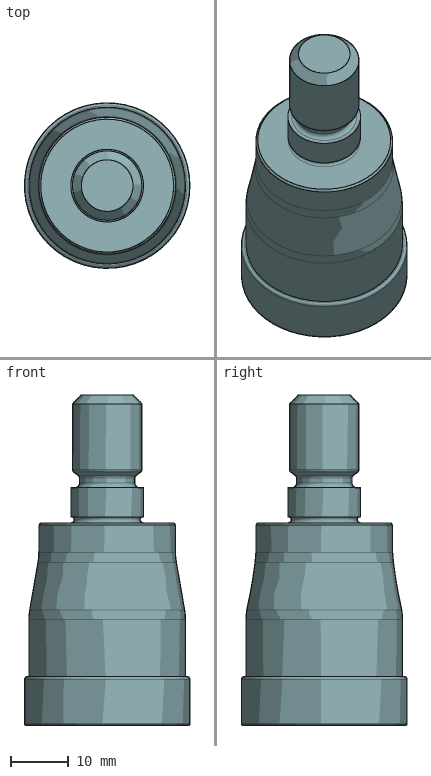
import cadquery as cq

total_height = 57.0
foot_height = 8.45
shoulder_z = 34.95

foot_radius = 14.28
foot_top_round = 0.5
foot_bottom_round = 0.3

barrel_lower_radius = 13.5
barrel_upper_radius = 11.8
taper_bottom_z = 19.1
taper_top_z = 28.95
taper_blend_radius = 10.0
shoulder_chamfer = 0.35

neck_radius = 5.7
neck_round = 0.5
collar_radius = 6.25
collar_bottom_z = shoulder_z + 2 * neck_round
collar_top_z = 41.0

undercut_radius = 4.8
undercut_round = 0.8
undercut_top_z = 42.9
stud_radius = 6.0
stud_bottom_z = 43.85
stud_cone_blend = 0.5
stud_tip_chamfer = 1.55

pick_margin = 0.03


def edges_at_height(body, z):
    """Select the edges lying in a thin horizontal slice at height z."""
    reach = 2 * foot_radius
    return body.edges(
        cq.selectors.BoxSelector(
            (-reach, -reach, z - pick_margin),
            (reach, reach, z + pick_margin),
            boundingbox=True,
        )
    )


def revolve_about_z(profile):
    """Turn a closed profile drawn in the XZ plane about the Z axis."""
    return profile.close().revolve(360, (0, 0), (0, 1))


def make_foot():
    """Round foot with softened top and bottom rims."""
    foot = cq.Workplane("XY").circle(foot_radius).extrude(foot_height)
    foot = foot.faces(">Z").edges().fillet(foot_top_round)
    return foot.faces("<Z").edges().fillet(foot_bottom_round)


def make_barrel_and_stud():
    """Turned barrel that carries the neck, collar, undercut and stud."""
    profile = (
        cq.Workplane("XZ")
        .moveTo(0, foot_height)
        .lineTo(barrel_lower_radius, foot_height)
        .lineTo(barrel_lower_radius, taper_bottom_z)
        .lineTo(barrel_upper_radius, taper_top_z)
        .lineTo(barrel_upper_radius, shoulder_z - shoulder_chamfer)
        .lineTo(barrel_upper_radius - shoulder_chamfer, shoulder_z)
        .lineTo(neck_radius + neck_round, shoulder_z)
        .tangentArcPoint((-neck_round, neck_round))
        .tangentArcPoint((neck_round, neck_round))
        .lineTo(collar_radius, collar_bottom_z)
        .lineTo(collar_radius, collar_top_z)
        .lineTo(undercut_radius + undercut_round, collar_top_z)
        .tangentArcPoint((-undercut_round, undercut_round))
        .lineTo(undercut_radius, undercut_top_z)
        .lineTo(stud_radius, stud_bottom_z)
        .lineTo(stud_radius, total_height - stud_tip_chamfer)
        .lineTo(stud_radius - stud_tip_chamfer, total_height)
        .lineTo(0, total_height)
    )
    body = revolve_about_z(profile)
    for z in (taper_bottom_z, taper_top_z):
        body = edges_at_height(body, z).fillet(taper_blend_radius)
    for z in (undercut_top_z, stud_bottom_z):
        body = edges_at_height(body, z).fillet(stud_cone_blend)
    return body


foot = make_foot()
barrel_and_stud = make_barrel_and_stud()

result = cq.Compound.makeCompound([foot.val(), barrel_and_stud.val()])